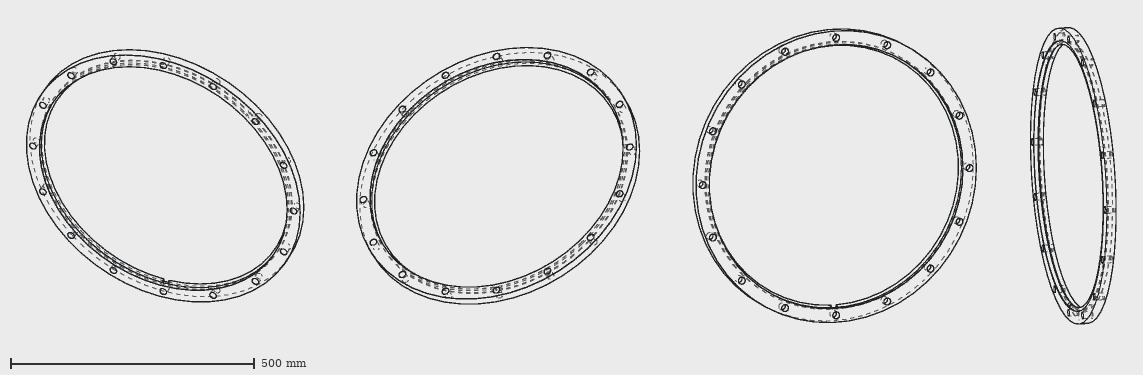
import cadquery as cq
import math

outer_diameter = 610
bore_diameter = 551.0
thickness = 20.0
front_chamfer = 0.5

hole_count = 16
hole_diameter = 14.0
hole_circle_diameter = 580.0

recess_length = 10.5
recess_diameter = 558.0

wire_diameter = 8.0
wire_gap = 13.0
wire_circle_radius = (recess_diameter - wire_diameter) / 2

back_face = thickness / 2


def back_plane():
    """XZ workplane at the back face; extrusion runs towards the front."""
    return cq.Workplane("XZ", origin=(0, back_face, 0))


def make_flange():
    """Flat ring with chamfered front edges, a circle of bolt holes and a recess at the back of its bore."""
    ring = back_plane().circle(outer_diameter / 2).circle(bore_diameter / 2).extrude(thickness)
    holes = (
        back_plane()
        .polarArray(hole_circle_diameter / 2, 0, 360, hole_count)
        .circle(hole_diameter / 2)
        .extrude(thickness)
    )
    recess = back_plane().circle(recess_diameter / 2).extrude(recess_length)
    return ring.cut(holes).faces("<Y").edges().chamfer(front_chamfer).cut(recess)


def make_snap_ring():
    """Open round-wire ring with its gap centred on the lowest point (-Z) of the bore."""
    gap_angle = 2 * math.degrees(math.asin(wire_gap / 2 / wire_circle_radius))
    wire = (
        cq.Workplane("XY", origin=(0, back_face - wire_diameter / 2, 0))
        .center(wire_circle_radius, 0)
        .circle(wire_diameter / 2)
        .revolve(360 - gap_angle, (-wire_circle_radius, 0, 0), (-wire_circle_radius, 1, 0))
    )
    return wire.rotate((0, 0, 0), (0, 1, 0), 90 + gap_angle / 2)


flange = make_flange()
snap_ring = make_snap_ring()

result = cq.Compound.makeCompound([flange.val(), snap_ring.val()])